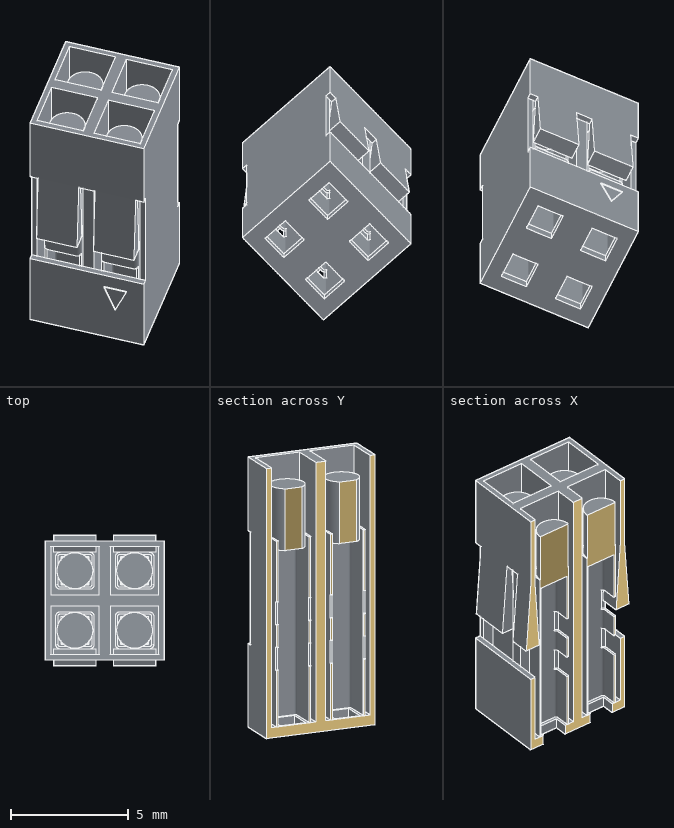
import cadquery as cq

HEIGHT = 12.0
WIDTH = 5.08
PITCH = WIDTH / 2
CAVITY = 2.05
WALL = (WIDTH - PITCH - CAVITY) / 2
FLOOR = 0.48
PIN_HOLE = 1.18

RECESS_BOTTOM = 3.72
RECESS_TOP = 8.72

LATCH_WIDTH = 1.81
LATCH_BOTTOM = 5.3
LATCH_SPAN = 5.57
LATCH_OVERHANG = (LATCH_SPAN - WIDTH) / 2
LATCH_INSET = 0.23

MARK_WIDTH = 1.01
MARK_HEIGHT = 1.26
MARK_TOP = 3.04
MARK_RELIEF = 0.04

TUBE_WIDTH = 1.65
TUBE_DEPTH = 1.57
TUBE_WALL = 0.1
TUBE_RADIUS = 0.19
TUBE_TOP = RECESS_TOP
PLUG_DIAMETER = 1.52
PLUG_TOP = 10.99
PLUG_INSERTION = 0.48
BAND_BOTTOM = 4.0
BAND_HEIGHT = 1.01
WINDOW_HEIGHT = BAND_HEIGHT

POSITIONS = [(x, y) for x in (-PITCH / 2, PITCH / 2) for y in (-PITCH / 2, PITCH / 2)]


def box_between(width, depth, bottom, top):
    """A box centred on the Z axis that spans the given heights."""
    return (
        cq.Workplane("XY")
        .workplane(offset=bottom)
        .rect(width, depth)
        .extrude(top - bottom)
    )


def make_latch(x):
    """A wedge-shaped tongue on the -Y face that thickens towards its free lower end."""
    outer_face = -WIDTH / 2
    inner_face = outer_face + WALL
    return (
        cq.Workplane("YZ")
        .workplane(offset=x - LATCH_WIDTH / 2)
        .polyline([
            (outer_face, RECESS_TOP),
            (inner_face, RECESS_TOP),
            (inner_face + LATCH_INSET, LATCH_BOTTOM),
            (outer_face - LATCH_OVERHANG, LATCH_BOTTOM),
        ])
        .close()
        .extrude(LATCH_WIDTH)
    )


def make_mark():
    """A downward-pointing triangle standing out of the -Y face."""
    x = PITCH / 2
    return (
        cq.Workplane("XZ")
        .workplane(offset=WIDTH / 2)
        .polyline([
            (x - MARK_WIDTH / 2, MARK_TOP),
            (x + MARK_WIDTH / 2, MARK_TOP),
            (x, MARK_TOP - MARK_HEIGHT),
        ])
        .close()
        .extrude(MARK_RELIEF)
    )


def make_housing():
    """The shell with its cavities, recesses, latches and position mark, as one solid."""
    housing = box_between(WIDTH, WIDTH, 0, HEIGHT)

    for x, y in POSITIONS:
        housing = housing.cut(box_between(CAVITY, CAVITY, FLOOR, HEIGHT).translate((x, y, 0)))
        housing = housing.cut(box_between(PIN_HOLE, PIN_HOLE, 0, FLOOR).translate((x, y, 0)))

    for side in (-1, 1):
        recess = box_between(WIDTH, WALL, RECESS_BOTTOM, RECESS_TOP)
        housing = housing.cut(recess.translate((0, side * (WIDTH - WALL) / 2, 0)))

    for x in (-PITCH / 2, PITCH / 2):
        latch = make_latch(x)
        housing = housing.union(latch).union(latch.mirror("XZ"))

    return housing.union(make_mark()).solids().val()


def make_contact(x, y):
    """A contact standing on the cavity floor, with its windows facing -Y."""
    bore_width = TUBE_WIDTH - 2 * TUBE_WALL
    bore_depth = TUBE_DEPTH - 2 * TUBE_WALL
    bore_radius = TUBE_RADIUS - TUBE_WALL
    contact = box_between(TUBE_WIDTH, TUBE_DEPTH, FLOOR, TUBE_TOP).edges("|Z").fillet(TUBE_RADIUS)
    bore = box_between(bore_width, bore_depth, FLOOR, TUBE_TOP).edges("|Z").fillet(bore_radius)
    contact = contact.cut(bore)

    for bottom in (BAND_BOTTOM - WINDOW_HEIGHT, BAND_BOTTOM + BAND_HEIGHT):
        window = box_between(TUBE_WIDTH, TUBE_RADIUS, bottom, bottom + WINDOW_HEIGHT)
        contact = contact.cut(window.translate((0, (TUBE_RADIUS - TUBE_DEPTH) / 2, 0)))

    plug_bottom = TUBE_TOP - PLUG_INSERTION
    plug = (
        cq.Workplane("XY")
        .workplane(offset=plug_bottom)
        .circle(PLUG_DIAMETER / 2)
        .extrude(PLUG_TOP - plug_bottom)
    )
    return contact.union(plug).translate((x, y, 0)).solids().val()


housing = make_housing()
contacts = [make_contact(x, y) for x, y in POSITIONS]

result = cq.Compound.makeCompound([housing, *contacts])